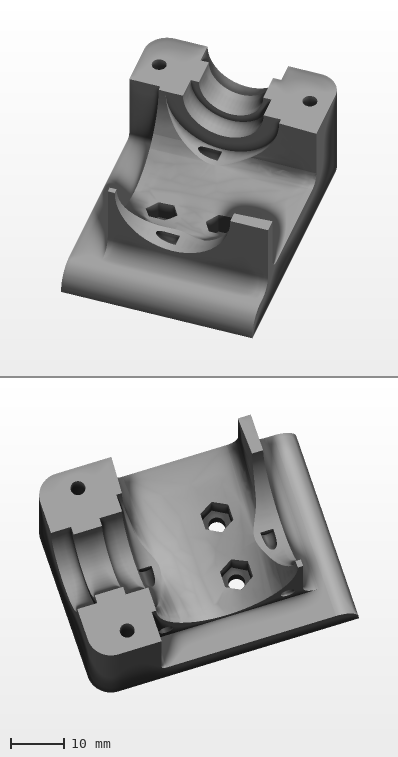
import cadquery as cq
import math

WIDTH, LENGTH, HEIGHT = 38.0, 52, 20.0
CENTER_X = WIDTH / 2
CUT_MARGIN = 0.5

SLAB_HEIGHT = 5.0
NOSE_RADIUS = 4.5
LEDGE_WIDTH = 6.15
LEDGE_BACK = 38.9
LEDGE_FILLET = 1.0
BODY_FRONT = 9.0
FRONT_FILLET = 3.0
BACK_CORNER_RADIUS = 4.5

CHANNEL_Y = 24.0
CHANNEL_RADIUS = 14.0
ROUND_CORNER_TOP = 10.9
ROUND_CORNER_BOTTOM = 8.95
EXIT_HALF_WIDTH = 12.5
EXIT_FLOOR = 7.5
EXIT_CORNER_RADIUS = 2.2

POCKET_BACK = 37.95
COLLAR_FRONT = 42.45
COLLAR_BACK = 48.05
BORE_STEPS = [
    (11.5, BODY_FRONT - CUT_MARGIN, POCKET_BACK),
    (8.0, POCKET_BACK, COLLAR_FRONT),
    (6.4, COLLAR_FRONT, COLLAR_BACK),
    (8.0, COLLAR_BACK, LENGTH + CUT_MARGIN),
]

SCREW_DIAMETER = 2.8
SCREW_HALF_SPACING = 15.0
SCREW_Y = 44.4
SIDE_HOLE_HALF_SPACING = 12.0
SIDE_HOLE_Z = 7.95

BOLT_DIAMETER = 3.2
BOLT_HALF_SPACING = 6.0
BOLT_Y = 19.9
NUT_ACROSS_CORNERS = 6.35
NUT_SEAT_Z = 2.5


def arc_middle(center, start, end):
    """Point halfway along the lower circular arc between two points."""
    radius = math.dist(center, start)
    start_angle = math.atan2(start[1] - center[1], start[0] - center[0])
    end_angle = math.atan2(end[1] - center[1], end[0] - center[0])
    if start_angle > 0:
        start_angle -= 2 * math.pi
    angle = (start_angle + end_angle) / 2
    return (center[0] + radius * math.cos(angle), center[1] + radius * math.sin(angle))


def make_body():
    """Slab with a rounded nose, and the raised body behind a concave fillet."""
    nose_center = (NOSE_RADIUS, SLAB_HEIGHT - NOSE_RADIUS)
    nose_low = (0, nose_center[1])
    nose_high = (NOSE_RADIUS, SLAB_HEIGHT)
    diagonal = NOSE_RADIUS * math.sqrt(0.5)
    nose_middle = (nose_center[0] - diagonal, nose_center[1] + diagonal)
    slab = (
        cq.Workplane("YZ")
        .lineTo(*nose_low)
        .threePointArc(nose_middle, nose_high)
        .lineTo(LENGTH, SLAB_HEIGHT)
        .lineTo(LENGTH, 0)
        .close()
        .extrude(WIDTH)
    )
    front_center = (BODY_FRONT - FRONT_FILLET, SLAB_HEIGHT + FRONT_FILLET)
    fillet_start = (front_center[0], SLAB_HEIGHT)
    fillet_end = (BODY_FRONT, front_center[1])
    raised = (
        cq.Workplane("YZ", origin=(LEDGE_WIDTH, 0, 0))
        .moveTo(*fillet_start)
        .threePointArc(arc_middle(front_center, fillet_start, fillet_end), fillet_end)
        .lineTo(BODY_FRONT, HEIGHT)
        .lineTo(LENGTH, HEIGHT)
        .lineTo(LENGTH, SLAB_HEIGHT)
        .close()
        .extrude(WIDTH - LEDGE_WIDTH)
    )
    ledge_center = (LEDGE_BACK - LEDGE_FILLET, SLAB_HEIGHT + LEDGE_FILLET)
    ledge_start = (ledge_center[0], SLAB_HEIGHT)
    ledge_end = (LEDGE_BACK, ledge_center[1])
    back_left = (
        cq.Workplane("YZ")
        .moveTo(*ledge_start)
        .threePointArc(arc_middle(ledge_center, ledge_start, ledge_end), ledge_end)
        .lineTo(LEDGE_BACK, HEIGHT)
        .lineTo(LENGTH, HEIGHT)
        .lineTo(LENGTH, SLAB_HEIGHT)
        .close()
        .extrude(LEDGE_WIDTH)
    )
    body = slab.union(raised).union(back_left)
    return body.edges("|Z and >Y").fillet(BACK_CORNER_RADIUS)


def make_channel():
    """Cutter that blends from a half circle to a rounded rectangle."""
    center = (CHANNEL_Y, HEIGHT)

    def on_circle(offset):
        return (CHANNEL_Y + offset, HEIGHT - math.sqrt(CHANNEL_RADIUS**2 - offset**2))

    offsets = [
        -CHANNEL_RADIUS, -ROUND_CORNER_TOP, -ROUND_CORNER_BOTTOM,
        ROUND_CORNER_BOTTOM, ROUND_CORNER_TOP, CHANNEL_RADIUS,
    ]
    points = [on_circle(offset) for offset in offsets]
    entry = cq.Workplane("YZ", origin=(LEDGE_WIDTH, 0, 0)).moveTo(*points[0])
    for start, end in zip(points, points[1:]):
        entry = entry.threePointArc(arc_middle(center, start, end), end)
    entry_wire = entry.close().val()

    left = CHANNEL_Y - EXIT_HALF_WIDTH
    right = CHANNEL_Y + EXIT_HALF_WIDTH
    corner_z = EXIT_FLOOR + EXIT_CORNER_RADIUS
    left_center = (left + EXIT_CORNER_RADIUS, corner_z)
    right_center = (right - EXIT_CORNER_RADIUS, corner_z)
    left_wall, left_floor = (left, corner_z), (left_center[0], EXIT_FLOOR)
    right_floor, right_wall = (right_center[0], EXIT_FLOOR), (right, corner_z)
    exit_wire = (
        cq.Workplane("YZ", origin=(WIDTH, 0, 0))
        .moveTo(left, HEIGHT)
        .lineTo(*left_wall)
        .threePointArc(arc_middle(left_center, left_wall, left_floor), left_floor)
        .lineTo(*right_floor)
        .threePointArc(arc_middle(right_center, right_floor, right_wall), right_wall)
        .lineTo(right, HEIGHT)
        .close()
        .val()
    )
    return cq.Workplane(cq.Solid.makeLoft([entry_wire, exit_wire], True))


def make_bore():
    """Coaxial cylinders along Y."""
    bore = cq.Workplane()
    for radius, start, end in BORE_STEPS:
        step = cq.Solid.makeCylinder(
            radius, end - start, cq.Vector(CENTER_X, start, HEIGHT), cq.Vector(0, 1, 0)
        )
        bore = bore.add(step)
    return bore.combine()


def make_holes():
    """Vertical screw holes, floor bolts with nut pockets, and blind side holes."""
    screws = (
        cq.Workplane()
        .pushPoints([(CENTER_X + side * SCREW_HALF_SPACING, SCREW_Y) for side in (-1, 1)])
        .circle(SCREW_DIAMETER / 2)
        .extrude(HEIGHT)
    )
    bolt_points = [(CENTER_X + side * BOLT_HALF_SPACING, BOLT_Y) for side in (-1, 1)]
    bolts = cq.Workplane().pushPoints(bolt_points).circle(BOLT_DIAMETER / 2).extrude(HEIGHT)
    nuts = (
        cq.Workplane(origin=(0, 0, NUT_SEAT_Z))
        .pushPoints(bolt_points)
        .polygon(6, NUT_ACROSS_CORNERS)
        .extrude(HEIGHT - NUT_SEAT_Z)
    )
    side_points = [(CHANNEL_Y + side * SIDE_HOLE_HALF_SPACING, SIDE_HOLE_Z) for side in (-1, 1)]
    side_holes = (
        cq.Workplane("YZ", origin=(LEDGE_WIDTH, 0, 0))
        .pushPoints(side_points)
        .circle(SCREW_DIAMETER / 2)
        .extrude(CENTER_X - LEDGE_WIDTH)
    )
    return screws.union(bolts).union(nuts).union(side_holes)


result = make_body().cut(make_channel()).cut(make_bore()).cut(make_holes())